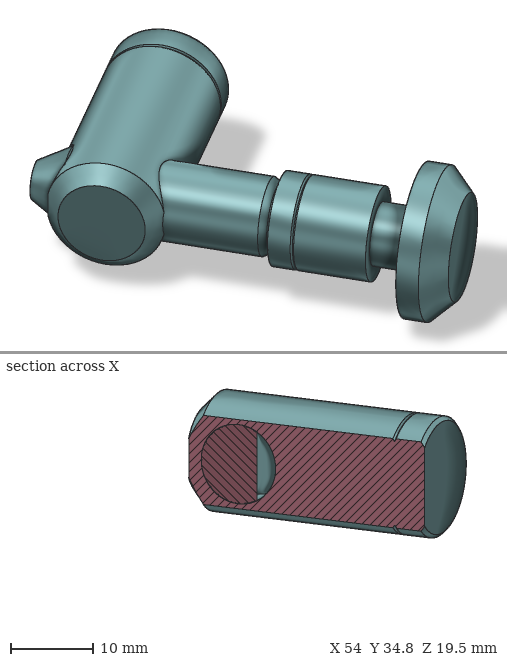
import cadquery as cq
import math


sleeve_radius = 7.5
sleeve_front_y = -6.7
sleeve_back_y = 25.05
front_chamfer = 2.0
back_chamfer = 0.5
sleeve_groove_y = 20.8

groove_width = 0.45
groove_depth = 0.25

shank_radius = 4.95
tip_x = -10.2
tip_radius = 2.5
tip_half_angle = 30.0
shank_end_x = 20.2
shank_chamfer_length = 0.95
relief_radius = 4.4

collar_start_x = 20.75
collar_end_x = 33.1
collar_radius = 5.95
collar_groove_x = 23.6
neck_radius = 4.0
head_start_x = 37.95
head_rim_length = 2.85
head_end_x = 43.8
head_diameter = 19.5
head_radius = head_diameter / 2
head_chamfer = head_end_x - head_start_x - head_rim_length

flat_end_x = 9.85
flat_angle = 26.5


def groove_cutter(direction, outer_radius, start):
    """Ring with a V section around the given direction, starting at that distance from the origin."""
    section = cq.Plane(origin=(0, 0, 0), xDir=direction, normal=(0, 0, 1))
    rim_radius = outer_radius + groove_depth
    return (
        cq.Workplane(section)
        .moveTo(start, rim_radius)
        .lineTo(start, outer_radius)
        .lineTo(start + groove_width / 2, outer_radius - groove_depth)
        .lineTo(start + groove_width, outer_radius)
        .lineTo(start + groove_width, rim_radius)
        .close()
        .revolve(360, (0, 0, 0), (1, 0, 0))
    )


def make_sleeve():
    length = sleeve_back_y - sleeve_front_y
    body = (
        cq.Workplane("XZ", origin=(0, sleeve_back_y, 0))
        .circle(sleeve_radius)
        .extrude(length)
    )
    body = body.faces("<Y").chamfer(front_chamfer)
    body = body.faces(">Y").chamfer(back_chamfer)
    body = body.cut(groove_cutter((0, 1, 0), sleeve_radius, sleeve_groove_y))
    cross_hole = (
        cq.Workplane("YZ", origin=(-sleeve_radius, 0, 0))
        .circle(shank_radius)
        .extrude(2 * sleeve_radius)
    )
    return body.cut(cross_hole)


def make_flat_cutter():
    """Wedge that leaves a flat sloping down from the shank surface to the sleeve axis."""
    flat_drop = flat_end_x * math.tan(math.radians(flat_angle))
    return (
        cq.Workplane("XY", origin=(0, 0, -shank_radius))
        .moveTo(0, shank_radius)
        .lineTo(flat_end_x, shank_radius)
        .lineTo(0, shank_radius - flat_drop)
        .close()
        .extrude(2 * shank_radius)
    )


def make_pin():
    cone_length = (shank_radius - tip_radius) / math.tan(math.radians(tip_half_angle))
    body = (
        cq.Workplane("XY")
        .moveTo(tip_x, 0)
        .lineTo(tip_x, tip_radius)
        .lineTo(tip_x + cone_length, shank_radius)
        .lineTo(shank_end_x - shank_chamfer_length, shank_radius)
        .lineTo(shank_end_x, relief_radius)
        .lineTo(collar_start_x, relief_radius)
        .lineTo(collar_start_x, collar_radius)
        .lineTo(collar_end_x, collar_radius)
        .lineTo(collar_end_x, neck_radius)
        .lineTo(head_start_x, neck_radius)
        .lineTo(head_start_x, head_radius)
        .lineTo(head_start_x + head_rim_length, head_radius)
        .lineTo(head_end_x, head_radius - head_chamfer)
        .lineTo(head_end_x, 0)
        .close()
        .revolve(360, (0, 0, 0), (1, 0, 0))
    )
    body = body.cut(groove_cutter((1, 0, 0), collar_radius, collar_groove_x))
    return body.cut(make_flat_cutter())


sleeve = make_sleeve()
pin = make_pin()

result = cq.Compound.makeCompound([sleeve.val(), pin.val()])